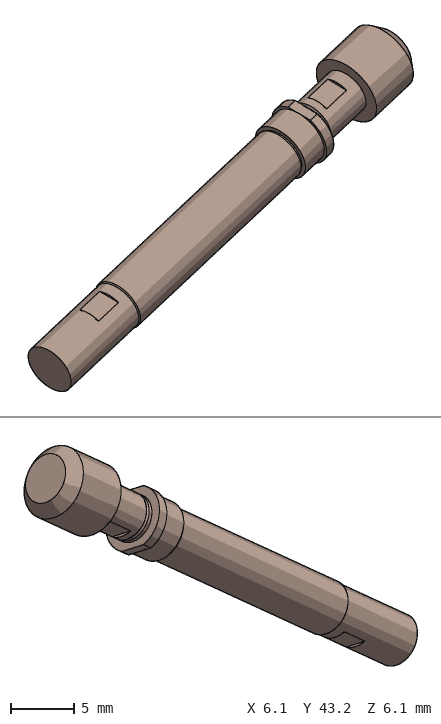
import cadquery as cq

total_length = 43.2

head_radius = 6.1 / 2
head_chamfer = 1.0
head_end = 5.65

neck_radius = 3.97 / 2
groove_start = 10.05
groove_width = 0.3
groove_depth = 0.15

collar_radius = 5.55 / 2
collar_start = 10.7
collar_end = 11.6
sleeve_radius = 5.05 / 2
sleeve_end = 14.0

barrel_radius = 4.55 / 2
barrel_start = 14.2
barrel_end = 34.65
barrel_ease = 0.11

tail_radius = 4.35 / 2

flat_length = 2.5
neck_flat_start = 6.83
neck_flat_height = 3.5 / 2
tail_flat_start = 35.7
tail_flat_height = 3.95 / 2
collar_flat_height = sleeve_radius


def make_turned_body():
    """Revolve the stepped half-profile (radius, station) about the Y axis."""
    head_tip = total_length / 2
    profile = [
        (0, 0),
        (head_radius - head_chamfer, 0),
        (head_radius, head_chamfer),
        (head_radius, head_end),
        (neck_radius, head_end),
        (neck_radius, groove_start),
        (neck_radius - groove_depth, groove_start + groove_width / 2),
        (neck_radius, groove_start + groove_width),
        (neck_radius, collar_start),
        (collar_radius, collar_start),
        (collar_radius, collar_end),
        (sleeve_radius, collar_end),
        (sleeve_radius, sleeve_end),
        (barrel_radius - barrel_ease, sleeve_end),
        (barrel_radius, barrel_start),
        (barrel_radius, barrel_end - barrel_ease),
        (tail_radius, barrel_end),
        (tail_radius, total_length),
        (0, total_length),
    ]
    points = [(radius, head_tip - station) for radius, station in profile]
    return cq.Workplane("XY").polyline(points).close().revolve(360, (0, 0), (0, 1))


def cut_flats(body, start, length, height):
    """Mill a flat on the top and bottom of the body over the given stretch."""
    cutter_size = 2 * head_radius
    middle = total_length / 2 - start - length / 2
    for side in (1, -1):
        cutter = cq.Workplane("XY").box(cutter_size, length, cutter_size)
        body = body.cut(cutter.translate((0, middle, side * (height + cutter_size / 2))))
    return body


result = make_turned_body()
result = cut_flats(result, neck_flat_start, flat_length, neck_flat_height)
result = cut_flats(result, collar_start, collar_end - collar_start, collar_flat_height)
result = cut_flats(result, tail_flat_start, flat_length, tail_flat_height)